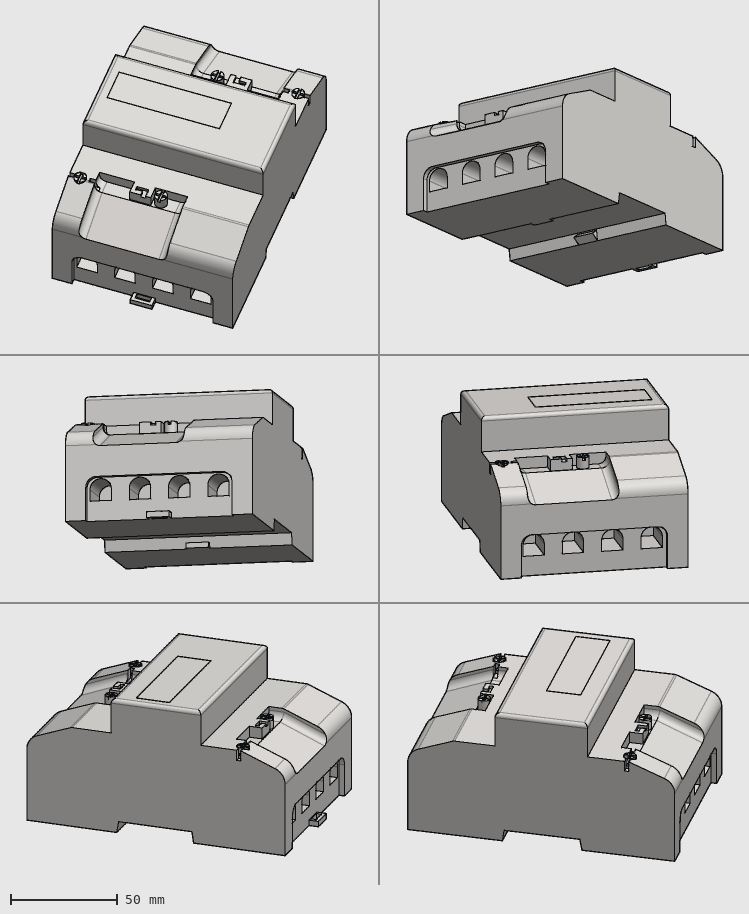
import cadquery as cq
import math

WIDTH = 90.0
HEIGHT = 67.0
BODY_LENGTH = 129.1
HALF_WIDTH = WIDTH / 2
HALF_LENGTH = BODY_LENGTH / 2

TOWER_HALF_LENGTH = 22.4
TOWER_EDGE_RADIUS = 2.0
SHOULDER_Z = 50.0
SLOPE_START = 42.3
SLOPE_ANGLE = 21
SLOPE_START_RADIUS = 2.6
END_RADIUS = 7.9

NOTCH_DEPTH = 5.6
NOTCH_TOP_Y = (-18.0, 18.6)
NOTCH_BASE_Y = (-18.7, 19.7)
CLAW_Y = 16.9
CLAW_HEIGHT = 2.5
LATCH_TIP_Y = -15.0
LATCH_TIP_Z = 2.8
LATCH_ROOT_Z = 5.0

TAB_WIDTH = 10.9
TAB_HEIGHT = 2.8
TAB_PROTRUSION = 2.0
TAB_HOLE_WIDTH = 7.2
TAB_HOLE_LENGTH = 2.5
TAB_RIM = 1.8

WINDOW_CENTRE = (-11.3, 3.7)
WINDOW_SIZE = (56.0, 16.5)
WINDOW_DEPTH = 0.1

APRON_WIDTH = 70.3
APRON_HEIGHT = 20.8
APRON_DEPTH = 2.8
APRON_RADIUS = 5.1
WIRE_ENTRY_COUNT = 4
WIRE_ENTRY_PITCH = 18.9
WIRE_ENTRY_SHIFT = -0.3
WIRE_ENTRY_WIDTH = 10.2
WIRE_ENTRY_BASE_Z = 9.7
WIRE_ENTRY_HEIGHT = 10.5
WIRE_ENTRY_DEPTH = 19.7

RECESS_X = (-31.9, 11.9)
RECESS_BACK_Y = -35.4
RECESS_BEND_Y = -42.3
RECESS_FLOOR_Z = 44.5
RECESS_SLOPE_ANGLE = 22
RECESS_FILLET = 3.7
OVERCUT = 6.5

BLOCK_X = (-14.5, -4.0)
BLOCK_FRONT_Y = -41.8
FAR_BLOCK_SHIFT = 1.6
GROOVE_X = (-12.5, -6.7)
GROOVE_Y = (-39.5, -37.6)
GROOVE_LEG_WIDTH = 2.4
GROOVE_DEPTH = 1.5

SCREW_RADIUS = 3.0
RECESS_SCREW_XY = (0, -39.0)
SIDE_SCREW_XY = (-39.3, -41.4)
SIDE_SCREW_RISE = 0.3
CROSS_SLOT_WIDTH = 1.3
CROSS_SLOT_DEPTH = 1.5
CROSS_ARM_WIDTH = 0.9
CROSS_ARM_LENGTH = 4.7

CHANNEL_Y = -41.3
CHANNEL_WIDTH = 2.0
CHANNEL_DEPTH = 5.1
CHANNEL_WEB_X = (-40.6, -34.7)
WIRE_HOLE_DIAMETER = 1.3
WIRE_HOLE_Z = 46.8


def block(x_range, y_range, z_range):
    """Axis-aligned box between the given limits."""
    return cq.Workplane("XY").box(
        x_range[1] - x_range[0], y_range[1] - y_range[0], z_range[1] - z_range[0], centered=False
    ).translate((x_range[0], y_range[0], z_range[0]))


def extrude_side_profile(points, x_start, x_end):
    """Closed (y, z) outline extruded along X."""
    return cq.Workplane("YZ", origin=(x_start, 0, 0)).polyline(points).close().extrude(x_end - x_start)


def at_far_end(feature):
    """The feature moved to the +Y end by half a turn about Z."""
    return feature.rotate((0, 0, 0), (0, 0, 1), 180)


def both_ends(feature):
    """The feature together with its copy at the +Y end."""
    return feature.union(at_far_end(feature))


def drop_along_slope(start_y, end_y, angle):
    """Height lost between two Y positions on a plane falling at the angle in degrees."""
    return abs(end_y - start_y) * math.tan(math.radians(angle))


def make_housing():
    """Shouldered housing with sloping, rounded ends and a raised tower."""
    end_z = SHOULDER_Z - drop_along_slope(SLOPE_START, HALF_LENGTH, SLOPE_ANGLE)
    shoulders = extrude_side_profile(
        [
            (-HALF_LENGTH, 0),
            (-HALF_LENGTH, end_z),
            (-SLOPE_START, SHOULDER_Z),
            (SLOPE_START, SHOULDER_Z),
            (HALF_LENGTH, end_z),
            (HALF_LENGTH, 0),
        ],
        -HALF_WIDTH,
        HALF_WIDTH,
    )
    for side in (-1, 1):
        end_edge = cq.selectors.NearestToPointSelector((0, side * HALF_LENGTH, end_z))
        shoulders = shoulders.edges(end_edge).fillet(END_RADIUS)
        slope_edge = cq.selectors.NearestToPointSelector((0, side * SLOPE_START, SHOULDER_Z))
        shoulders = shoulders.edges(slope_edge).fillet(SLOPE_START_RADIUS)

    tower = block(
        (-HALF_WIDTH, HALF_WIDTH), (-TOWER_HALF_LENGTH, TOWER_HALF_LENGTH), (NOTCH_DEPTH, HEIGHT)
    )
    tower = tower.faces(">Z").edges().fillet(TOWER_EDGE_RADIUS)
    window = cq.Workplane("XY", origin=(*WINDOW_CENTRE, HEIGHT)).rect(*WINDOW_SIZE).extrude(-WINDOW_DEPTH)
    return shoulders.union(tower).cut(window)


def make_rail_notch():
    """Notch across the underside, widening slightly toward the base."""
    return extrude_side_profile(
        [
            (NOTCH_BASE_Y[0], 0),
            (NOTCH_TOP_Y[0], NOTCH_DEPTH),
            (NOTCH_TOP_Y[1], NOTCH_DEPTH),
            (NOTCH_BASE_Y[1], 0),
        ],
        -HALF_WIDTH,
        HALF_WIDTH,
    )


def make_claws():
    """Fixed claw on one wall of the notch and the pointed latch on the other."""
    fixed_claw = block((-TAB_WIDTH / 2, TAB_WIDTH / 2), (CLAW_Y, NOTCH_BASE_Y[1]), (0, CLAW_HEIGHT))
    latch_root_y = NOTCH_BASE_Y[0]
    latch = extrude_side_profile(
        [
            (latch_root_y, 0),
            (LATCH_TIP_Y, LATCH_TIP_Z),
            (NOTCH_TOP_Y[0], LATCH_ROOT_Z),
            (latch_root_y, LATCH_ROOT_Z),
        ],
        -TAB_WIDTH / 2,
        TAB_WIDTH / 2,
    )
    return fixed_claw.union(latch)


def make_pull_tab():
    """Latch tab on the -Y end, reaching out from the apron, with a slot through it."""
    outer_y = -HALF_LENGTH - TAB_PROTRUSION
    apron_y = -HALF_LENGTH + APRON_DEPTH
    tab = block((-TAB_WIDTH / 2, TAB_WIDTH / 2), (outer_y, apron_y), (0, TAB_HEIGHT))
    hole_y = outer_y + TAB_RIM
    hole = block(
        (-TAB_HOLE_WIDTH / 2, TAB_HOLE_WIDTH / 2), (hole_y, hole_y + TAB_HOLE_LENGTH), (0, TAB_HEIGHT)
    )
    return tab.cut(hole)


def make_terminal_cut():
    """Shallow apron in the -Y end face and the arched wire entries behind it."""
    apron = block(
        (-APRON_WIDTH / 2, APRON_WIDTH / 2), (-HALF_LENGTH, -HALF_LENGTH + APRON_DEPTH), (0, APRON_HEIGHT)
    )
    apron = apron.edges("|Y and >Z").fillet(APRON_RADIUS)

    arch_radius = WIRE_ENTRY_WIDTH / 2
    spring_z = WIRE_ENTRY_BASE_Z + WIRE_ENTRY_HEIGHT - arch_radius
    for index in range(WIRE_ENTRY_COUNT):
        x = WIRE_ENTRY_SHIFT + (index - (WIRE_ENTRY_COUNT - 1) / 2) * WIRE_ENTRY_PITCH
        entry = (
            cq.Workplane("XZ", origin=(x, -HALF_LENGTH, 0))
            .moveTo(-arch_radius, WIRE_ENTRY_BASE_Z)
            .lineTo(-arch_radius, spring_z)
            .threePointArc((0, spring_z + arch_radius), (arch_radius, spring_z))
            .lineTo(arch_radius, WIRE_ENTRY_BASE_Z)
            .close()
            .extrude(-(APRON_DEPTH + WIRE_ENTRY_DEPTH))
        )
        apron = apron.union(entry)
    return apron


def make_cover_recess():
    """Recess with a flat floor that bends down toward the end face, rounded along both sides."""
    outer_y = -HALF_LENGTH - OVERCUT
    top_z = SHOULDER_Z + OVERCUT
    outer_floor_z = RECESS_FLOOR_Z - drop_along_slope(RECESS_BEND_Y, outer_y, RECESS_SLOPE_ANGLE)
    recess = extrude_side_profile(
        [
            (RECESS_BACK_Y, top_z),
            (RECESS_BACK_Y, RECESS_FLOOR_Z),
            (RECESS_BEND_Y, RECESS_FLOOR_Z),
            (outer_y, outer_floor_z),
            (outer_y, top_z),
        ],
        *RECESS_X,
    )
    flat_middle_y = (RECESS_BACK_Y + RECESS_BEND_Y) / 2
    slope_middle = ((outer_y + RECESS_BEND_Y) / 2, (outer_floor_z + RECESS_FLOOR_Z) / 2)
    floor_middles = [(flat_middle_y, RECESS_FLOOR_Z), slope_middle]
    floor_edges = [
        recess.edges(cq.selectors.NearestToPointSelector((x, y, z))).val()
        for x in RECESS_X
        for y, z in floor_middles
    ]
    return recess.newObject(floor_edges).fillet(RECESS_FILLET)


def make_button_block():
    """Block level with the shoulder, its L-shaped groove open at the front."""
    base = block(BLOCK_X, (BLOCK_FRONT_Y, RECESS_BACK_Y), (RECESS_FLOOR_Z, SHOULDER_Z))
    groove_z = (SHOULDER_Z - GROOVE_DEPTH, SHOULDER_Z)
    groove = block(GROOVE_X, GROOVE_Y, groove_z)
    leg = block((GROOVE_X[1] - GROOVE_LEG_WIDTH, GROOVE_X[1]), (BLOCK_FRONT_Y, GROOVE_Y[1]), groove_z)
    return base.cut(groove).cut(leg)


def make_screw(centre, rise=0):
    """Round screw standing above the shoulder by the rise, with a cross slot in its head."""
    head_z = SHOULDER_Z + rise
    head = cq.Workplane("XY", origin=(*centre, head_z))
    shank = head.circle(SCREW_RADIUS).extrude(RECESS_FLOOR_Z - head_z)
    slot = head.rect(CROSS_SLOT_WIDTH, 2 * SCREW_RADIUS).extrude(-CROSS_SLOT_DEPTH)
    arms = head.rect(CROSS_ARM_LENGTH, CROSS_ARM_WIDTH).extrude(-CROSS_SLOT_DEPTH)
    return shank.cut(slot).cut(arms)


def make_screw_bore(centre):
    """Space taken by a screw, cleared before the slotted screw is set in."""
    bore = cq.Workplane("XY", origin=(*centre, RECESS_FLOOR_Z))
    return bore.circle(SCREW_RADIUS).extrude(SHOULDER_Z - RECESS_FLOOR_Z)


def make_wire_channel():
    """Open channel on either side of the side screw."""
    y_range = (CHANNEL_Y - CHANNEL_WIDTH / 2, CHANNEL_Y + CHANNEL_WIDTH / 2)
    z_range = (SHOULDER_Z - CHANNEL_DEPTH, SHOULDER_Z)
    recess_side_x = RECESS_X[0] + RECESS_FILLET
    outer = block((-HALF_WIDTH, CHANNEL_WEB_X[0]), y_range, z_range)
    return outer.union(block((CHANNEL_WEB_X[1], recess_side_x), y_range, z_range))


def make_wire_hole():
    """Round hole joining the two lengths of channel through the screw."""
    length = RECESS_X[0] + HALF_WIDTH
    start = cq.Workplane("YZ", origin=(-HALF_WIDTH, CHANNEL_Y, WIRE_HOLE_Z))
    return start.circle(WIRE_HOLE_DIAMETER / 2).extrude(length)


end_cuts = make_terminal_cut().union(make_cover_recess())
end_cuts = end_cuts.union(make_wire_channel()).union(make_screw_bore(SIDE_SCREW_XY))
screws = make_screw(RECESS_SCREW_XY).union(make_screw(SIDE_SCREW_XY, SIDE_SCREW_RISE))
button_block = make_button_block()
far_button_block = at_far_end(button_block).translate((FAR_BLOCK_SHIFT, 0, 0))

result = make_housing().cut(both_ends(end_cuts)).cut(make_rail_notch())
result = result.union(both_ends(screws)).cut(both_ends(make_wire_hole()))
result = result.union(button_block).union(far_button_block)
result = result.union(make_claws()).union(make_pull_tab())